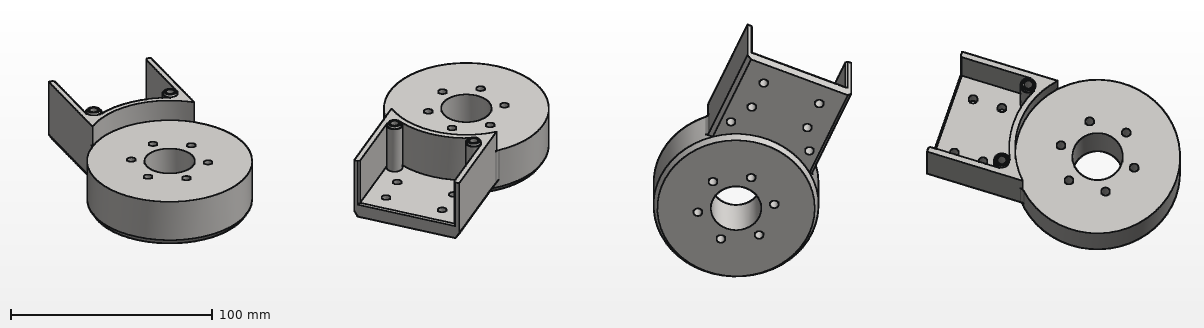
import cadquery as cq
import math

head_diameter = 82.0
head_radius = head_diameter / 2
head_top = 24.9
head_bore_diameter = 25.0
screw_hole_diameter = 4.4
head_screw_count = 6
head_screw_circle_radius = 19.1

edge_slope_width = 1.9
edge_slope_height = 3.0

overall_length = 121.0
tray_front = head_radius - overall_length
tray_width = 56.1
tray_half_width = tray_width / 2
tray_bottom = edge_slope_height
tray_top = 36.2
wall_thickness = 2.9
floor_top = 11.0
mouth_chamfer = 0.8
tray_hole_spacing_x = 15.0
tray_hole_spacing_y = 30.0
tray_hole_setback = 10.0

corner_radius = 2.9

post_diameter = 8.0
post_rim_base_diameter = 7.3
post_rim_diameter = 6.0
post_top = 37.3
post_setback = 36.9
pocket_half_width = tray_half_width - wall_thickness
post_x = tray_front + post_setback
post_y = pocket_half_width - post_diameter / 2


def cylinder(x, y, diameter, bottom, top):
    return cq.Workplane("XY", origin=(x, y, bottom)).circle(diameter / 2).extrude(top - bottom)


def slab(x_min, x_max, half_width, bottom, top):
    """Block that is symmetric about the XZ plane."""
    return (
        cq.Workplane("XY", origin=(x_min, 0, bottom))
        .rect(x_max - x_min, 2 * half_width)
        .extrude(top - bottom)
        .translate(((x_max - x_min) / 2, 0, 0))
    )


def make_head():
    head_profile = [
        (0, 0),
        (head_radius - edge_slope_width, 0),
        (head_radius, edge_slope_height),
        (head_radius, head_top),
        (0, head_top),
    ]
    return cq.Workplane("XZ").polyline(head_profile).close().revolve(360, (0, 0, 0), (0, 1, 0))


def make_tray_block():
    """Tray outline that ends against the head and blends into it with rounded corners."""
    body = slab(tray_front, 0, tray_half_width, tray_bottom, tray_top)
    body = body.cut(cylinder(0, 0, head_diameter, tray_bottom, tray_top))

    centre_y = tray_half_width + corner_radius
    centre_x = -math.sqrt((head_radius + corner_radius) ** 2 - centre_y**2)
    tangent_ratio = head_radius / (head_radius + corner_radius)
    head_tangent = (centre_x * tangent_ratio, centre_y * tangent_ratio)
    mid_angle = (math.atan2(head_tangent[1] - centre_y, head_tangent[0] - centre_x) - math.pi / 2) / 2
    arc_middle = (
        centre_x + corner_radius * math.cos(mid_angle),
        centre_y + corner_radius * math.sin(mid_angle),
    )
    corner = (
        cq.Workplane("XY", origin=(0, 0, tray_bottom))
        .moveTo(centre_x, tray_half_width)
        .threePointArc(arc_middle, head_tangent)
        .lineTo(0, head_tangent[1])
        .lineTo(0, 0)
        .lineTo(centre_x, 0)
        .close()
        .extrude(head_top - tray_bottom)
        .cut(cylinder(0, 0, head_diameter, tray_bottom, head_top))
    )
    return body.union(corner).union(corner.mirror("XZ"))


def make_side_slope_cutter():
    """Wedge below the sloping lower edge of the +Y tray side."""
    inner_y = tray_half_width - edge_slope_width
    outer_y = tray_half_width + edge_slope_width
    wedge_profile = [
        (inner_y, tray_bottom),
        (outer_y, tray_bottom),
        (outer_y, tray_bottom + 2 * edge_slope_height),
    ]
    return cq.Workplane("YZ", origin=(tray_front, 0, 0)).polyline(wedge_profile).close().extrude(-tray_front)


def make_pocket():
    """Space open at the front and top, with a curved back wall between the posts."""
    back_wall = cylinder(0, 0, head_diameter + 2 * wall_thickness, floor_top, tray_top)
    pocket = slab(tray_front, post_x, pocket_half_width, floor_top, tray_top)
    wall_half_width = post_y - post_diameter / 2 * math.sin(math.atan2(post_y, -post_x))
    middle = slab(tray_front, -head_radius / 2, wall_half_width, floor_top, tray_top)
    pocket = pocket.union(middle).cut(back_wall)
    mouth = (
        cq.Workplane("YZ", origin=(tray_front, 0, 0))
        .center(0, (floor_top + tray_top) / 2)
        .rect(2 * (pocket_half_width + mouth_chamfer), tray_top - floor_top + 2 * mouth_chamfer)
        .workplane(offset=mouth_chamfer)
        .rect(2 * pocket_half_width, tray_top - floor_top)
        .loft(combine=True)
    )
    return pocket.union(mouth)


def make_post_rim(y):
    """Tapered ring on the top of a screw post."""
    return (
        cq.Workplane("XY", origin=(post_x, y, tray_top))
        .circle(post_rim_base_diameter / 2)
        .workplane(offset=post_top - tray_top)
        .circle(post_rim_diameter / 2)
        .loft(combine=True)
    )


tray = make_tray_block()
side_slope_cutter = make_side_slope_cutter()
tray = tray.cut(side_slope_cutter).cut(side_slope_cutter.mirror("XZ"))
tray = tray.cut(make_pocket())

result = make_head().union(tray)

for side in (-1, 1):
    result = result.union(cylinder(post_x, side * post_y, post_diameter, tray_bottom, tray_top))
    result = result.union(make_post_rim(side * post_y))

screw_positions = [(post_x, side * post_y) for side in (-1, 1)]
for column in (0, 1):
    for side in (-1, 1):
        hole_x = tray_front + tray_hole_setback + column * tray_hole_spacing_x
        screw_positions.append((hole_x, side * tray_hole_spacing_y / 2))
for index in range(head_screw_count):
    angle = 2 * math.pi * index / head_screw_count
    screw_positions.append(
        (head_screw_circle_radius * math.cos(angle), head_screw_circle_radius * math.sin(angle))
    )
for x, y in screw_positions:
    result = result.cut(cylinder(x, y, screw_hole_diameter, 0, post_top))
result = result.cut(cylinder(0, 0, head_bore_diameter, 0, head_top))